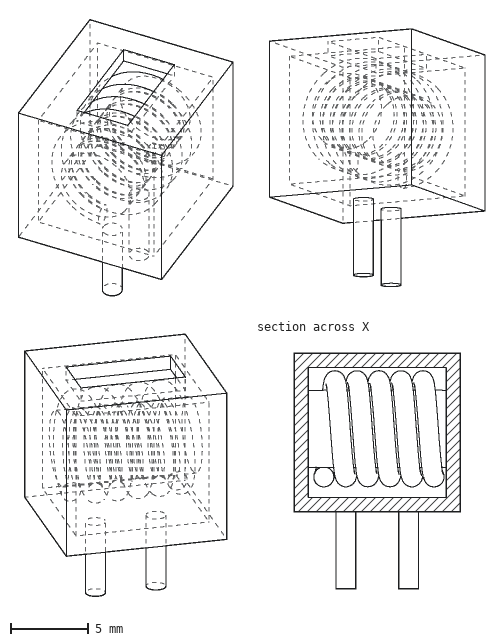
import cadquery as cq

total_height = 15.3
housing_width = 10.3
housing_length = 10.8
housing_height = 10.3
side_wall = 1.0
wall = 0.93

window_width = 3.64
window_length = 7.02

core_diameter = 5.0
core_rise = 0.25
wire_diameter = 1.3
wire_overlap = 0.03
coil_pitch = 1.43
coil_turns = 5
coil_mid_y = 0.1

pin_diameter = 1.3
pin_spacing = 4.07

pin_length = total_height - housing_height
housing_mid_z = pin_length + housing_height / 2
core_z = housing_mid_z + core_rise
cavity_width = housing_width - 2 * side_wall
cavity_length = housing_length - 2 * wall
cavity_height = housing_height - 2 * wall
coil_length = coil_pitch * coil_turns
coil_radius = (core_diameter + wire_diameter) / 2 - wire_overlap


def make_housing():
    """Hollow block with a rectangular window in its top wall."""
    block = cq.Workplane("XY").box(housing_width, housing_length, housing_height)
    cavity = cq.Workplane("XY").box(cavity_width, cavity_length, cavity_height)
    window = cq.Workplane("XY").rect(window_width, window_length).extrude(housing_height / 2)
    return block.cut(cavity).cut(window).translate((0, 0, housing_mid_z))


def make_core():
    """Rod along Y, set halfway into both end walls of the cavity."""
    core_length = cavity_length + wall
    return (
        cq.Workplane("XZ", origin=(0, 0, core_z))
        .circle(core_diameter / 2)
        .extrude(core_length / 2, both=True)
    )


def make_coil():
    """Round wire wound as a helix about the core, starting and ending under it."""
    path = cq.Wire.makeHelix(coil_pitch, coil_length, coil_radius)
    upright_coil = (
        cq.Workplane("XZ", origin=(coil_radius, 0, 0))
        .circle(wire_diameter / 2)
        .sweep(cq.Workplane(path), isFrenet=True)
    )
    return (
        upright_coil.translate((0, 0, -coil_length / 2))
        .rotate((0, 0, 0), (0, 0, 1), -90)
        .rotate((0, 0, 0), (1, 0, 0), 90)
        .translate((0, coil_mid_y, core_z))
    )


def make_pins():
    """Two round pins in a row along Y, rising halfway into the base of the housing."""
    return (
        cq.Workplane("XY")
        .pushPoints([(0, -pin_spacing / 2), (0, pin_spacing / 2)])
        .circle(pin_diameter / 2)
        .extrude(pin_length + wall / 2)
    )


part = make_core().union(make_housing()).union(make_pins()).union(make_coil())
result = part.solids()